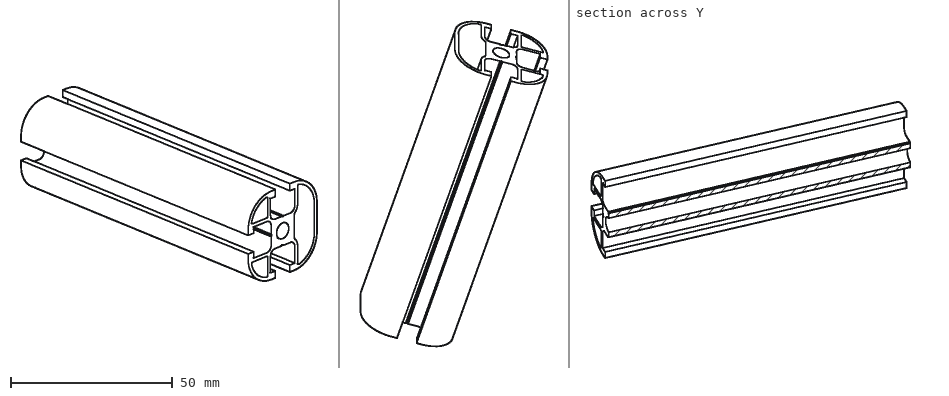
import cadquery as cq
import math

LENGTH = 100.0
SIDE = 30.0
CORNER_RADIUS = 10.0
WALL = 1.2
BORE_DIAMETER = 5.3
CORE_HALF = 5.0
SLOT_MOUTH_WIDTH = 6.3
SLOT_HALF_WIDTH = 5.3
LIP_THICKNESS = 2.4
SLOT_FLOOR_RADIUS = 2.0
GROOVE_WIDTH = 0.8
GROOVE_DEPTH = 0.3
CAVITY_FILLET = 0.5
CORE_BLEND_RADIUS = 2.0

HALF_SIDE = SIDE / 2
ARC_CENTER = HALF_SIDE - CORNER_RADIUS
INNER_RADIUS = CORNER_RADIUS - WALL
WEB_OUTER = SLOT_HALF_WIDTH + WALL
DIAGONAL = math.sqrt(0.5)


def slot():
    """Undercut slot opening on +Z, with a V groove along its floor."""
    chamber_height = HALF_SIDE - LIP_THICKNESS - CORE_HALF
    chamber = (
        cq.Workplane("YZ")
        .center(0, CORE_HALF + chamber_height / 2)
        .rect(2 * SLOT_HALF_WIDTH, chamber_height)
        .extrude(LENGTH)
        .edges("|X and <Z")
        .fillet(SLOT_FLOOR_RADIUS)
    )
    mouth_height = HALF_SIDE - CORE_HALF
    mouth = (
        cq.Workplane("YZ")
        .center(0, CORE_HALF + mouth_height / 2)
        .rect(SLOT_MOUTH_WIDTH, mouth_height)
        .extrude(LENGTH)
    )
    groove = (
        cq.Workplane("YZ")
        .moveTo(-GROOVE_WIDTH / 2, CORE_HALF)
        .lineTo(0, CORE_HALF - GROOVE_DEPTH)
        .lineTo(GROOVE_WIDTH / 2, CORE_HALF)
        .close()
        .extrude(LENGTH)
    )
    return chamber.union(mouth).union(groove)


def corner_cavity():
    """Closed chamber between two slot webs and the round wall at -Y, +Z."""
    tip = ARC_CENTER + math.sqrt(INNER_RADIUS**2 - (WEB_OUTER - ARC_CENTER) ** 2)
    middle = ARC_CENTER + INNER_RADIUS * DIAGONAL
    return (
        cq.Workplane("YZ")
        .moveTo(-WEB_OUTER, WEB_OUTER)
        .lineTo(-WEB_OUTER, tip)
        .threePointArc((-middle, middle), (-tip, WEB_OUTER))
        .close()
        .extrude(LENGTH)
        .edges("|X")
        .fillet(CAVITY_FILLET)
    )


def side_cavity():
    """Large closed chamber behind the plain +Y wall."""
    wall_inner = HALF_SIDE - WALL
    tip = ARC_CENTER + math.sqrt(INNER_RADIUS**2 - (WEB_OUTER - ARC_CENTER) ** 2)
    middle = ARC_CENTER + INNER_RADIUS * DIAGONAL

    web_y = SLOT_HALF_WIDTH - SLOT_FLOOR_RADIUS
    web_z = CORE_HALF + SLOT_FLOOR_RADIUS
    web_radius = SLOT_FLOOR_RADIUS + WALL

    blend_y = CORE_HALF + CORE_BLEND_RADIUS
    turn = math.acos((blend_y - web_y) / (web_radius + CORE_BLEND_RADIUS))
    blend_z = web_z - (web_radius + CORE_BLEND_RADIUS) * math.sin(turn)

    def web_point(angle):
        return (web_y + web_radius * math.cos(angle), web_z - web_radius * math.sin(angle))

    def blend_point(angle):
        return (blend_y - CORE_BLEND_RADIUS * math.cos(angle), blend_z + CORE_BLEND_RADIUS * math.sin(angle))

    upper_half = (
        cq.Workplane("YZ")
        .moveTo(CORE_HALF, 0)
        .lineTo(CORE_HALF, blend_z)
        .threePointArc(blend_point(turn / 2), web_point(turn))
        .threePointArc(web_point(turn / 2), web_point(0))
        .lineTo(WEB_OUTER, tip)
        .threePointArc((middle, middle), (wall_inner, ARC_CENTER))
        .lineTo(wall_inner, 0)
        .close()
        .extrude(LENGTH)
        .edges("|X and >Z")
        .fillet(CAVITY_FILLET)
    )
    return upper_half.union(upper_half.mirror("XY"))


body = (
    cq.Workplane("YZ")
    .rect(SIDE, SIDE)
    .extrude(LENGTH)
    .edges("|X")
    .fillet(CORNER_RADIUS)
)

body = body.cut(cq.Workplane("YZ").circle(BORE_DIAMETER / 2).extrude(LENGTH))

for turn_angle in (0, 90, 180):
    body = body.cut(slot().rotate((0, 0, 0), (1, 0, 0), turn_angle))

body = body.cut(corner_cavity())
body = body.cut(corner_cavity().mirror("XY"))
body = body.cut(side_cavity())

result = body